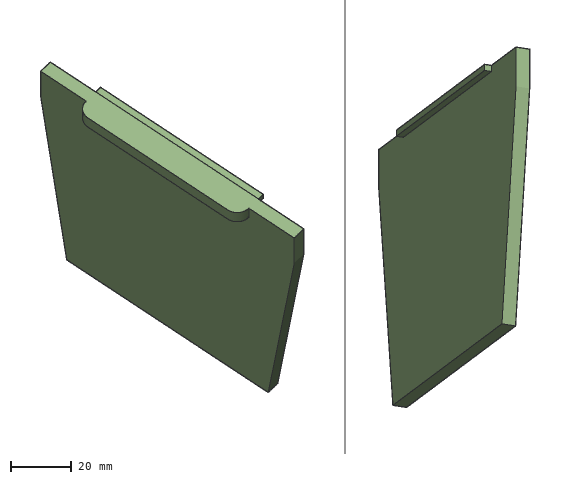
import cadquery as cq

plate_width = 109.0
plate_height = 94.0
plate_thickness = 5.0
bottom_width = 86.7
straight_height = 14.0

lip_length = 70.0
lip_depth = 5.0
lip_height = 5.0
strip_depth = 2.5
strip_height = 2.2

taper_start_z = -straight_height
front_face_y = -plate_thickness

lip_flat_length = lip_length - 2 * lip_depth


def make_plate():
    """Tapered plate with a round-cornered lip along its top front edge."""
    plate = (
        cq.Workplane("XZ")
        .moveTo(-plate_width / 2, 0)
        .lineTo(plate_width / 2, 0)
        .lineTo(plate_width / 2, taper_start_z)
        .lineTo(bottom_width / 2, -plate_height)
        .lineTo(-bottom_width / 2, -plate_height)
        .lineTo(-plate_width / 2, taper_start_z)
        .close()
        .extrude(plate_thickness)
    )
    lip = (
        cq.Workplane("XY")
        .moveTo(-lip_length / 2, front_face_y)
        .radiusArc((-lip_flat_length / 2, front_face_y - lip_depth), -lip_depth)
        .lineTo(lip_flat_length / 2, front_face_y - lip_depth)
        .radiusArc((lip_length / 2, front_face_y), -lip_depth)
        .close()
        .extrude(-lip_height)
    )
    return plate.union(lip)


def make_strip():
    """Plain strip lying against the rear face, flush with the top edge."""
    return (
        cq.Workplane("XY")
        .box(lip_length, strip_depth, strip_height, centered=(True, False, False))
        .translate((0, 0, -strip_height))
    )


plate = make_plate()
strip = make_strip()

result = cq.Compound.makeCompound([plate.val(), strip.val()])